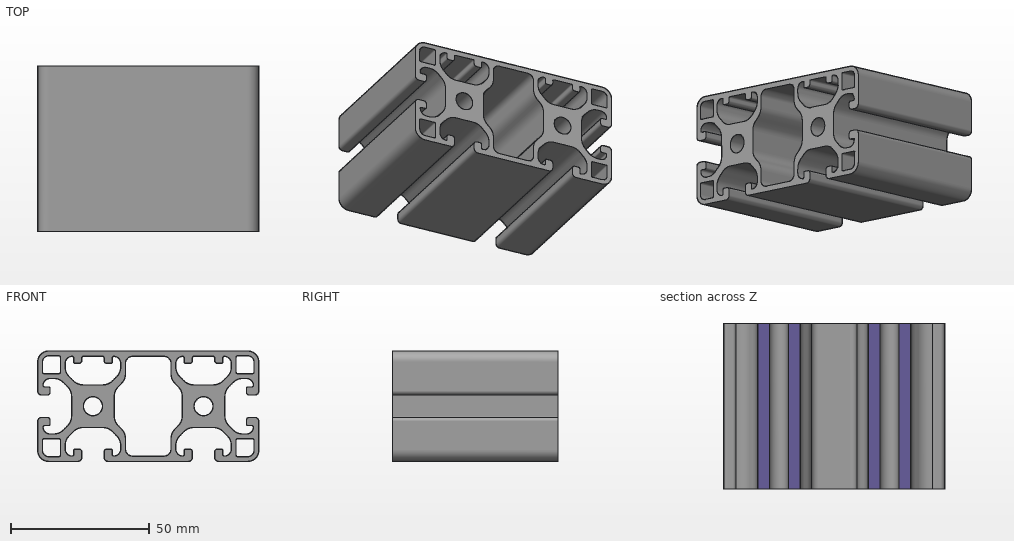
import cadquery as cq
import math


CELL = 40.0
WIDTH = 2 * CELL
HEIGHT = CELL
LENGTH = 60.0
OUTER_RADIUS = 4.0
CELL_CENTRES = (-CELL / 2, CELL / 2)

RIB_WALL = 1.8
FACE_WALL = 2.0

MOUTH_HALF_WIDTH = 4.0
LIP_WIDTH = 3.0
SLOT_HALF_WIDTH = 10.0
LIP_DEPTH = 4.5
SLOT_DEPTH = 12.25
MOUTH_RADIUS = 1.5
MOUTH_CLEARANCE = 1.0
SLOT_SHOULDER_RADIUS = 2.5
STRUT_RADIUS = 5.0
CHANNEL_RADIUS = 0.5

LIP_FRONT_RADIUS = 1.0
LIP_BACK_RADIUS = 0.5

STRUT_THICKNESS = 3.0
STRUT_OFFSET = STRUT_THICKNESS / math.sqrt(2)

BORE_DIAMETER = 6.8
CAVITY_SMALL_RADIUS = 0.5
CENTRE_CAVITY_RADIUS = 2.5

JOIN_TOLERANCE = 1e-6

CORE_HALF_WIDTH = CELL / 2 - SLOT_DEPTH


def rounded_outline(corners):
    """Closed wire in the XZ plane through (x, z, radius) corners; radius 0 keeps a corner sharp."""
    path = None
    pen = None
    for index, (x, z, radius) in enumerate(corners):
        corner = cq.Vector(x, z, 0)
        before = cq.Vector(*corners[index - 1][:2], 0)
        after = cq.Vector(*corners[(index + 1) % len(corners)][:2], 0)
        to_before = (before - corner).normalized()
        to_after = (after - corner).normalized()
        half_angle = to_before.getAngle(to_after) / 2
        reach = radius / math.tan(half_angle)
        start = corner + to_before * reach
        if path is None:
            path = cq.Workplane("XZ").moveTo(start.x, start.y)
        elif (start - pen).Length > JOIN_TOLERANCE:
            path = path.lineTo(start.x, start.y)
        pen = start
        if radius > 0:
            end = corner + to_after * reach
            bisector = (to_before + to_after).normalized()
            middle = corner + bisector * (radius / math.sin(half_angle) - radius)
            path = path.threePointArc((middle.x, middle.y), (end.x, end.y))
            pen = end
    return path.close()


def prism(corners):
    """Full-length solid of a rounded outline, centred along Y."""
    return rounded_outline(corners).extrude(LENGTH / 2, both=True)


def mirrored(half_outline):
    """Complete an outline given on the +x side with its mirror image on the -x side."""
    return half_outline + [(-x, z, radius) for x, z, radius in reversed(half_outline)]


def slot(is_open):
    """Void of one slot whose outer face is the plane z = 0 and whose depth runs toward +z."""
    lip_back = MOUTH_HALF_WIDTH + LIP_WIDTH
    if is_open:
        mouth = [
            (lip_back, -MOUTH_CLEARANCE, 0),
            (lip_back, 0, 0),
            (MOUTH_HALF_WIDTH, 0, MOUTH_RADIUS),
        ]
    else:
        mouth = [(MOUTH_HALF_WIDTH, FACE_WALL, CHANNEL_RADIUS)]
    strut_face = CELL / 2 - STRUT_OFFSET
    half_outline = mouth + [
        (MOUTH_HALF_WIDTH, LIP_DEPTH, LIP_FRONT_RADIUS),
        (lip_back, LIP_DEPTH, LIP_BACK_RADIUS),
        (lip_back, FACE_WALL, CHANNEL_RADIUS),
        (SLOT_HALF_WIDTH, FACE_WALL, SLOT_SHOULDER_RADIUS),
        (SLOT_HALF_WIDTH, strut_face - SLOT_HALF_WIDTH, STRUT_RADIUS),
        (strut_face - SLOT_DEPTH, SLOT_DEPTH, STRUT_RADIUS),
    ]
    return prism(mirrored(half_outline))


def turned(solid, angle):
    """Turn a solid about the Y axis."""
    return solid.rotate((0, 0, 0), (0, 1, 0), angle)


def blank():
    """Outer block with rounded long edges."""
    return cq.Workplane("XY").box(WIDTH, LENGTH, HEIGHT).edges("|Y").fillet(OUTER_RADIUS)


def corner_cavity():
    """Hollow in the upper right corner of the section."""
    right = WIDTH / 2 - RIB_WALL
    top = HEIGHT / 2 - RIB_WALL
    left = CELL_CENTRES[1] + SLOT_HALF_WIDTH + RIB_WALL
    bottom = SLOT_HALF_WIDTH + RIB_WALL
    return prism([
        (left, bottom, CAVITY_SMALL_RADIUS),
        (right, bottom, CAVITY_SMALL_RADIUS),
        (right, top, OUTER_RADIUS - RIB_WALL),
        (left, top, CAVITY_SMALL_RADIUS),
    ])


def centre_cavity():
    """Large hollow between the two cores, wider at mid height."""
    waist_x = CELL / 2 - CORE_HALF_WIDTH
    wall_x = CELL / 2 - SLOT_HALF_WIDTH - RIB_WALL
    top = HEIGHT / 2 - FACE_WALL
    strut_face = CELL / 2 - STRUT_OFFSET
    upper_right = [
        (wall_x, top, CENTRE_CAVITY_RADIUS),
        (wall_x, strut_face - wall_x, STRUT_RADIUS),
        (waist_x, strut_face - waist_x, STRUT_RADIUS),
    ]
    lower_right = [(x, -z, radius) for x, z, radius in reversed(upper_right)]
    return prism(mirrored(upper_right + lower_right))


def core_bore():
    """Round bore along the extrusion at the section centre."""
    return cq.Workplane("XZ").circle(BORE_DIAMETER / 2).extrude(LENGTH / 2, both=True)


result = blank().cut(centre_cavity())

open_slot = slot(is_open=True)
closed_slot = turned(slot(is_open=False), 180)
for cell_x in CELL_CENTRES:
    result = result.cut(open_slot.translate((cell_x, 0, -HEIGHT / 2)))
    result = result.cut(closed_slot.translate((cell_x, 0, HEIGHT / 2)))
    result = result.cut(core_bore().translate((cell_x, 0, 0)))

result = result.cut(turned(open_slot, 90).translate((-WIDTH / 2, 0, 0)))
result = result.cut(turned(open_slot, -90).translate((WIDTH / 2, 0, 0)))

upper_cavity = corner_cavity()
right_cavities = upper_cavity.union(upper_cavity.mirror("XY"))
result = result.cut(right_cavities).cut(right_cavities.mirror("YZ"))